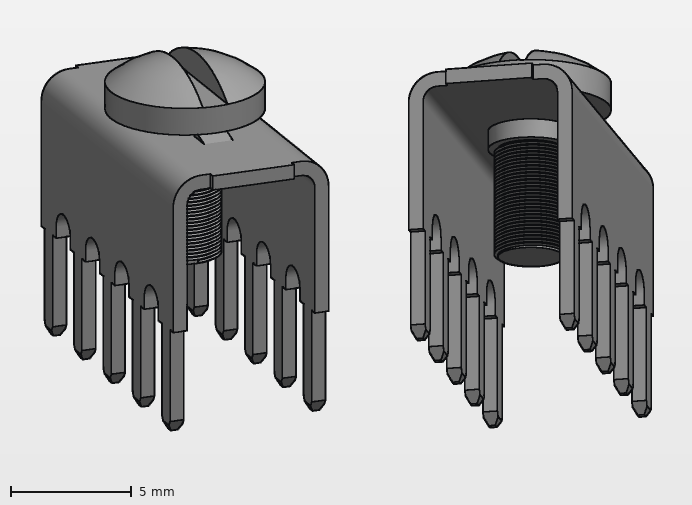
import cadquery as cq
import math

TERMINAL_LENGTH = 14.86
TERMINAL_WIDTH = 6.98
SHEET = 0.62
PLATE_TOP = 11.31
BEND_RADIUS = 1.25
WALL_LENGTH = 14.31
TONGUE_WIDTH = 3.67
SHOULDER_Z = 4.55

PIN_COUNT = 5
PIN_PITCH = 3.18
PIN_WIDTH = 0.89
PIN_TIP = 0.3
TIP_HEIGHT_X = 0.52
TIP_HEIGHT_Y = 0.31
ARCH_WIDTH = 1.52
ARCH_TOP_Z = 5.83

TAB_OUTER_X = 3.64
TAB_INNER_X = 2.55
TAB_WIDTH = 1.3

COLLAR_RADIUS = 1.78
COLLAR_HEIGHT = 0.79

SHANK_RADIUS = 1.38
SCREW_END_Z = 5.23
HEAD_RADIUS = 3.33
HEAD_GAP = 0.3
RIM_HEIGHT = 1.17
DOME_HEIGHT = 1.19
SLOT_WIDTH = 1.11
THREAD_TURNS = 29.8
THREAD_DEPTH = 0.15
THREAD_ROOT_WIDTH = 0.143
THREAD_EMBED = 0.03

WALL_MID_Y = (TERMINAL_WIDTH - SHEET) / 2
PLATE_BOTTOM = PLATE_TOP - SHEET
COLLAR_BOTTOM = PLATE_BOTTOM - COLLAR_HEIGHT
HEAD_BOTTOM = PLATE_TOP + HEAD_GAP
RIM_TOP = HEAD_BOTTOM + RIM_HEIGHT
SCREW_TOP = RIM_TOP + DOME_HEIGHT
THREAD_LENGTH = COLLAR_BOTTOM - SCREW_END_Z
THREAD_PITCH = THREAD_LENGTH / (THREAD_TURNS + 1)


def box_from(z_bottom, size_x, size_y, size_z):
    """Box centred on the Z axis, standing on z_bottom."""
    base = cq.Workplane("XY").workplane(offset=z_bottom)
    return base.box(size_x, size_y, size_z, centered=(True, True, False))


def make_bent_sheet():
    """U-shaped sheet with rounded bends, and the tongue that lengthens its plate."""
    height = PLATE_TOP - SHOULDER_Z
    outside = box_from(SHOULDER_Z, WALL_LENGTH, TERMINAL_WIDTH, height)
    outside = outside.edges("|X and >Z").fillet(BEND_RADIUS)
    inside = box_from(SHOULDER_Z, WALL_LENGTH, TERMINAL_WIDTH - 2 * SHEET, height - SHEET)
    inside = inside.edges("|X and >Z").fillet(BEND_RADIUS - SHEET)
    tongue = box_from(PLATE_BOTTOM, TERMINAL_LENGTH, TONGUE_WIDTH, SHEET)
    return outside.cut(inside).union(tongue)


def make_arch(x):
    """Round-topped cutter through both walls, open at the lower edge."""
    radius = ARCH_WIDTH / 2
    spring_z = ARCH_TOP_Z - radius
    return (
        cq.Workplane("XZ")
        .moveTo(x - radius, SHOULDER_Z)
        .lineTo(x - radius, spring_z)
        .threePointArc((x, ARCH_TOP_Z), (x + radius, spring_z))
        .lineTo(x + radius, SHOULDER_Z)
        .close()
        .extrude(TERMINAL_WIDTH / 2, both=True)
    )


def tapered_outline(plane, width, taper_height):
    """Pin outline with a pointed lower end, extruded well past the pin on both sides."""
    half = width / 2
    half_tip = PIN_TIP / 2
    outline = [
        (-half_tip, 0),
        (half_tip, 0),
        (half, taper_height),
        (half, SHOULDER_Z),
        (-half, SHOULDER_Z),
        (-half, taper_height),
    ]
    return cq.Workplane(plane).polyline(outline).close().extrude(PIN_WIDTH, both=True)


def make_pin():
    """One pin on the Z axis, tapered on all four sides."""
    across_x = tapered_outline("XZ", PIN_WIDTH, TIP_HEIGHT_X)
    across_y = tapered_outline("YZ", SHEET, TIP_HEIGHT_Y)
    return across_x.intersect(across_y)


def make_tab(side):
    """Wedge on the plate, sloping up toward the screw; side is -1 or 1."""
    outline = [
        (side * TAB_OUTER_X, PLATE_TOP),
        (side * TAB_INNER_X, PLATE_TOP),
        (side * TAB_INNER_X, HEAD_BOTTOM),
    ]
    return cq.Workplane("XZ").polyline(outline).close().extrude(TAB_WIDTH / 2, both=True)


def make_terminal():
    terminal = make_bent_sheet()
    first_pin_x = -PIN_PITCH * (PIN_COUNT - 1) / 2
    for gap in range(PIN_COUNT - 1):
        terminal = terminal.cut(make_arch(first_pin_x + PIN_PITCH * (gap + 0.5)))
    pin = make_pin()
    for number in range(PIN_COUNT):
        for wall_y in (-WALL_MID_Y, WALL_MID_Y):
            terminal = terminal.union(pin.translate((first_pin_x + PIN_PITCH * number, wall_y, 0)))
    for side in (-1, 1):
        terminal = terminal.union(make_tab(side))
    collar = cq.Workplane("XY", origin=(0, 0, COLLAR_BOTTOM)).circle(COLLAR_RADIUS).extrude(COLLAR_HEIGHT)
    bore = cq.Workplane("XY", origin=(0, 0, COLLAR_BOTTOM)).circle(SHANK_RADIUS)
    return terminal.union(collar).cut(bore.extrude(COLLAR_HEIGHT + SHEET))


def make_screw_blank():
    """Shank and domed head as one turned shape."""
    dome_radius = (HEAD_RADIUS**2 + DOME_HEIGHT**2) / (2 * DOME_HEIGHT)
    half_angle = math.asin(HEAD_RADIUS / dome_radius) / 2
    dome_mid = (
        dome_radius * math.sin(half_angle),
        SCREW_TOP - dome_radius * (1 - math.cos(half_angle)),
    )
    return (
        cq.Workplane("XZ")
        .moveTo(0, SCREW_END_Z)
        .lineTo(SHANK_RADIUS, SCREW_END_Z)
        .lineTo(SHANK_RADIUS, HEAD_BOTTOM)
        .lineTo(HEAD_RADIUS, HEAD_BOTTOM)
        .lineTo(HEAD_RADIUS, RIM_TOP)
        .threePointArc(dome_mid, (0, SCREW_TOP))
        .close()
        .revolve(360, (0, 0, 0), (0, 1, 0))
    )


def make_thread():
    """Right-handed V thread between the screw end and the collar."""
    start_z = SCREW_END_Z + THREAD_PITCH / 2
    height = THREAD_PITCH * THREAD_TURNS
    path = cq.Wire.makeHelix(THREAD_PITCH, height, SHANK_RADIUS, center=cq.Vector(0, 0, start_z))
    root_x = SHANK_RADIUS - THREAD_EMBED
    profile = [
        (root_x, start_z - THREAD_ROOT_WIDTH / 2),
        (SHANK_RADIUS + THREAD_DEPTH, start_z),
        (root_x, start_z + THREAD_ROOT_WIDTH / 2),
    ]
    return cq.Workplane("XZ").polyline(profile).close().sweep(cq.Workplane(path), isFrenet=True)


def make_screw():
    slot = box_from(RIM_TOP, 2 * HEAD_RADIUS, SLOT_WIDTH, DOME_HEIGHT)
    return make_screw_blank().union(make_thread()).cut(slot)


terminal = make_terminal()
screw = make_screw()
result = cq.Compound.makeCompound([terminal.solids().val(), screw.solids().val()])